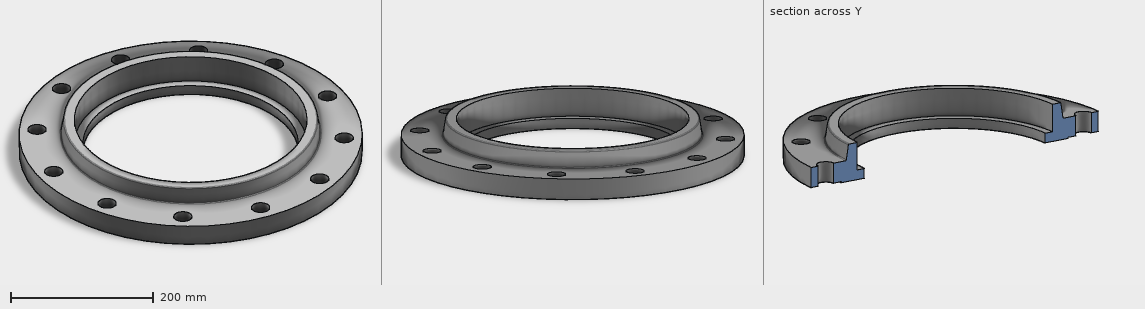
import cadquery as cq
import math

flange_diameter = 482.5
raised_face_diameter = 380.5
raised_face_height = 1.6
flange_top = 32.0

overall_height = 55.5
hub_base_radius = 182.5
hub_top_radius = 178.5
hub_edge_fillet = 1.5

bore_diameter = 303.0
socket_diameter = 327.0
socket_floor = 15.0

bolt_count = 12
bolt_circle_radius = 216.0
bolt_hole_diameter = 25.5
bolt_pitch_angle = 360 / bolt_count


def point_on_bolt_circle(angle):
    """Return the XY position at an angle in degrees from +X."""
    radians = math.radians(angle)
    return bolt_circle_radius * math.cos(radians), bolt_circle_radius * math.sin(radians)


def make_flange():
    """Raised face and flange plate, stacked from Z = 0."""
    raised_face = cq.Workplane("XY").circle(raised_face_diameter / 2).extrude(raised_face_height)
    plate = (
        cq.Workplane("XY", origin=(0, 0, raised_face_height))
        .circle(flange_diameter / 2)
        .extrude(flange_top - raised_face_height)
    )
    return raised_face.union(plate)


def make_hub():
    """Tapered hub standing on the flange, revolved about Z."""
    return (
        cq.Workplane("XZ")
        .moveTo(0, flange_top)
        .lineTo(hub_base_radius, flange_top)
        .lineTo(hub_top_radius, overall_height)
        .lineTo(0, overall_height)
        .close()
        .revolve(360, (0, 0, 0), (0, 1, 0))
    )


def make_stepped_bore():
    """Through bore with the wider socket above it."""
    bore = cq.Workplane("XY").circle(bore_diameter / 2).extrude(overall_height)
    socket = (
        cq.Workplane("XY", origin=(0, 0, socket_floor))
        .circle(socket_diameter / 2)
        .extrude(overall_height - socket_floor)
    )
    return bore.union(socket)


def make_bolt_holes():
    """Cutters for the bolt holes, through the full flange."""
    centres = [point_on_bolt_circle(i * bolt_pitch_angle) for i in range(bolt_count)]
    return cq.Workplane("XY").pushPoints(centres).circle(bolt_hole_diameter / 2).extrude(flange_top)


body = make_flange().union(make_hub())

box_reach = (hub_base_radius + flange_diameter / 2) / 2
hub_box = cq.selectors.BoxSelector(
    (-box_reach, -box_reach, flange_top - hub_edge_fillet),
    (box_reach, box_reach, overall_height + hub_edge_fillet),
    boundingbox=True,
)
body = body.edges(hub_box).edges("%CIRCLE").fillet(hub_edge_fillet)

result = body.cut(make_stepped_bore()).cut(make_bolt_holes())